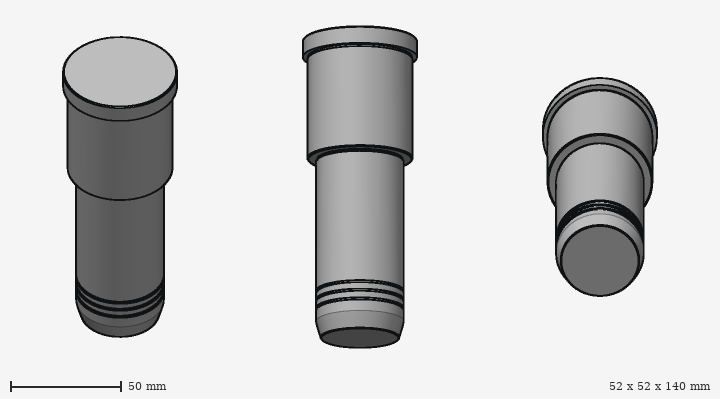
import cadquery as cq

total_height = 140.0
head_radius = 26.0
head_height = 8.0
head_chamfer = 0.5
body_radius = 24.0
body_bottom = 84.0
body_chamfer = 0.5
shank_radius = 20.0

head_relief_width = 1.0
head_relief_depth = 0.3
shank_relief_width = 1.3
shank_relief_depth = 0.5

groove_count = 3
groove_width = 1.0
groove_depth = 0.4
lowest_groove_center = 13.6
groove_pitch = 4.0

nose_height = 8.0
tip_radius = 17.9
nose_bulge = 0.1
tip_chamfer = 0.4


def ring_cutter(outer_radius, depth, bottom, width):
    """Square-section ring that removes a groove of the given depth."""
    return (
        cq.Workplane("XY")
        .workplane(offset=bottom)
        .circle(outer_radius + depth)
        .circle(outer_radius - depth)
        .extrude(width)
    )


head_bottom = total_height - head_height
nose_middle = ((tip_radius + shank_radius) / 2 + nose_bulge, (tip_chamfer + nose_height) / 2)
profile = (
    cq.Workplane("XZ")
    .moveTo(0, 0)
    .lineTo(tip_radius - tip_chamfer, 0)
    .lineTo(tip_radius, tip_chamfer)
    .threePointArc(nose_middle, (shank_radius, nose_height))
    .lineTo(shank_radius, body_bottom - shank_relief_width)
    .lineTo(shank_radius - shank_relief_depth, body_bottom - shank_relief_width + shank_relief_depth)
    .lineTo(shank_radius - shank_relief_depth, body_bottom)
    .lineTo(body_radius - body_chamfer, body_bottom)
    .lineTo(body_radius, body_bottom + body_chamfer)
    .lineTo(body_radius, head_bottom)
    .lineTo(head_radius, head_bottom)
    .lineTo(head_radius, total_height - head_chamfer)
    .lineTo(head_radius - head_chamfer, total_height)
    .lineTo(0, total_height)
    .close()
)
result = profile.revolve(360, (0, 0, 0), (0, 1, 0))

result = result.cut(
    ring_cutter(body_radius, head_relief_depth, head_bottom - head_relief_width, head_relief_width)
)

for index in range(groove_count):
    groove_center = lowest_groove_center + index * groove_pitch
    groove_bottom = groove_center - groove_width / 2
    result = result.cut(ring_cutter(shank_radius, groove_depth, groove_bottom, groove_width))